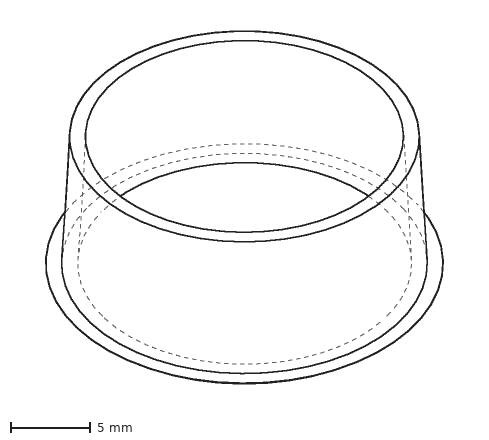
import cadquery as cq
import math

flange_radius = 12.5
total_height = 12.0

cap_height = 2.0
cap_flat_radius = 7.5

wall_base_radius = 11.5
wall_top_radius = 11.0
wall_thickness = 1.0

cap_run = flange_radius - cap_flat_radius
cap_arc_radius = (cap_run**2 + cap_height**2) / (2 * cap_height)
half_sweep = math.atan2(cap_height, cap_run)
cap_arc_middle = (
    cap_flat_radius + cap_arc_radius * math.sin(half_sweep),
    cap_arc_radius * (1 - math.cos(half_sweep)),
)

section = (
    cq.Workplane("XZ")
    .moveTo(0, 0)
    .lineTo(cap_flat_radius, 0)
    .threePointArc(cap_arc_middle, (flange_radius, cap_height))
    .lineTo(wall_base_radius, cap_height)
    .lineTo(wall_top_radius, total_height)
    .lineTo(wall_top_radius - wall_thickness, total_height)
    .lineTo(wall_base_radius - wall_thickness, cap_height)
    .lineTo(0, cap_height)
    .close()
)
result = section.revolve(360, (0, 0, 0), (0, 1, 0))